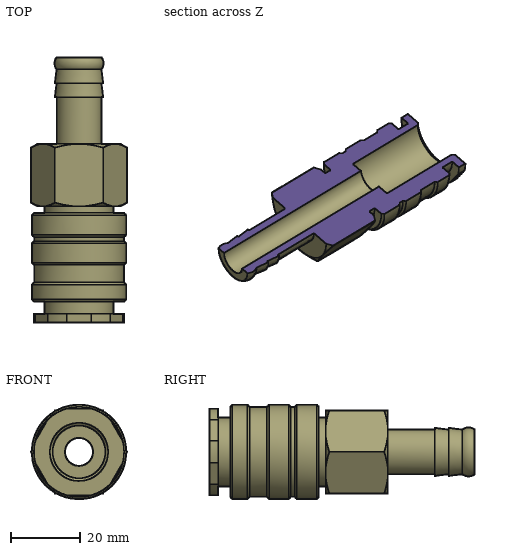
import cadquery as cq
import math

FLANGE_END = 2.5
SLEEVE_START = 6.0
SLEEVE_END = 31.6
HEX_START = 33.5
HEX_LENGTH = 18.0
TOTAL_LENGTH = 76.5

FLANGE_DIA = 26.0
FLANGE_ACROSS_FLATS = 25.0
NECK_DIA = 20.0
SOCKET_DIA = 15.2
SOCKET_MOUTH_DIA = 16.8
SOCKET_CHAMFER = (SOCKET_MOUTH_DIA - SOCKET_DIA) / 2
SOCKET_DEPTH = 25.0
BORE_DIA = 8.0

BAND_DIA = 27.3
SLEEVE_CORE_DIA = 26.0
BAND_CHAMFER = (BAND_DIA - SLEEVE_CORE_DIA) / 2
BANDS = (
    (SLEEVE_START, 11.6),
    (16.6, 23.5),
    (24.6, SLEEVE_END),
)

HEX_ACROSS_FLATS = 24.0
HEX_CHAMFER_ANGLE = 30.0
HEX_FACE_DIA = 24.0

STEM_DIA = 13.0
BARB_DIA = 14.0
BARB_PITCH = 4.0
BARB_COUNT = 2
BEAD_DIA = 14.2
BEAD_LENGTH = 3.5


def cylinder(diameter, start, end):
    """Solid cylinder on the Y axis between two stations."""
    base = cq.Workplane("XZ", origin=(0, start, 0))
    return base.circle(diameter / 2).extrude(start - end)


def across_corners(across_flats):
    """Corner-to-corner width of a regular hexagon."""
    return 2 * across_flats / math.sqrt(3)


def hexagon(across_flats, start, end):
    """Hexagonal prism on the Y axis, with flats facing up and down."""
    base = cq.Workplane("XZ", origin=(0, start, 0))
    return base.polygon(6, across_corners(across_flats)).extrude(start - end)


def revolve_profile(profile):
    """Turn a closed (radius, Y) profile about the Y axis."""
    return profile.close().revolve(360, (0, 0, 0), (0, 1, 0))


def make_flange():
    """Thin end disc trimmed by six flats."""
    disc = cylinder(FLANGE_DIA, 0, FLANGE_END)
    return disc.intersect(hexagon(FLANGE_ACROSS_FLATS, 0, FLANGE_END))


def make_sleeve():
    """Cylindrical core carrying the chamfered bands."""
    sleeve = cylinder(SLEEVE_CORE_DIA, SLEEVE_START, SLEEVE_END)
    for start, end in BANDS:
        band = cylinder(BAND_DIA, start, end).edges().chamfer(BAND_CHAMFER)
        sleeve = sleeve.union(band)
    return sleeve


def make_hex_body():
    """Hexagon with its corners chamfered at both ends."""
    hex_end = HEX_START + HEX_LENGTH
    face_radius = HEX_FACE_DIA / 2
    corner_radius = across_corners(HEX_ACROSS_FLATS) / 2
    chamfer_depth = (corner_radius - face_radius) * math.tan(math.radians(HEX_CHAMFER_ANGLE))
    envelope = revolve_profile(
        cq.Workplane("XY")
        .moveTo(0, HEX_START)
        .lineTo(face_radius, HEX_START)
        .lineTo(corner_radius, HEX_START + chamfer_depth)
        .lineTo(corner_radius, hex_end - chamfer_depth)
        .lineTo(face_radius, hex_end)
        .lineTo(0, hex_end)
    )
    return hexagon(HEX_ACROSS_FLATS, HEX_START, hex_end).intersect(envelope)


def make_hose_tail():
    """Stem, tapered barbs and arc-shaped bead turned in one profile."""
    tail_start = HEX_START + HEX_LENGTH
    bead_start = TOTAL_LENGTH - BEAD_LENGTH
    barbs_start = bead_start - BARB_COUNT * BARB_PITCH
    stem_radius = STEM_DIA / 2
    profile = cq.Workplane("XY").moveTo(0, tail_start).lineTo(stem_radius, tail_start)
    profile = profile.lineTo(stem_radius, barbs_start)
    for index in range(BARB_COUNT):
        barb_base = barbs_start + index * BARB_PITCH
        profile = profile.lineTo(BARB_DIA / 2, barb_base)
        profile = profile.lineTo(stem_radius, barb_base + BARB_PITCH)
    profile = profile.threePointArc(
        (BEAD_DIA / 2, TOTAL_LENGTH - BEAD_LENGTH / 2),
        (stem_radius, TOTAL_LENGTH),
    )
    return revolve_profile(profile.lineTo(0, TOTAL_LENGTH))


def make_bore():
    """Chamfered socket and the smaller passage through the whole length."""
    mouth = revolve_profile(
        cq.Workplane("XY")
        .lineTo(SOCKET_MOUTH_DIA / 2, 0)
        .lineTo(SOCKET_DIA / 2, SOCKET_CHAMFER)
        .lineTo(0, SOCKET_CHAMFER)
    )
    socket = cylinder(SOCKET_DIA, 0, SOCKET_DEPTH)
    return cylinder(BORE_DIA, 0, TOTAL_LENGTH).union(socket).union(mouth)


body = cylinder(NECK_DIA, 0, HEX_START)
for section in (make_flange(), make_sleeve(), make_hex_body(), make_hose_tail()):
    body = body.union(section)

result = body.cut(make_bore())